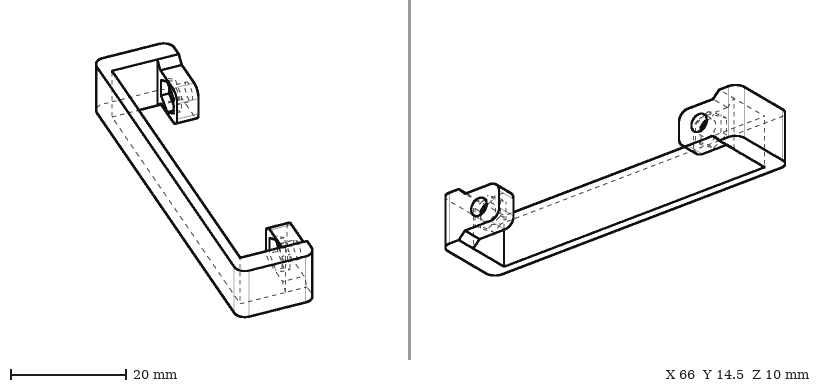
import cadquery as cq
import math

width = 66.0
depth = 14.5
height = 10.0
front_wall = 2.0
side_wall = 4.0
corner_radius = 2.0

ear_length = 9.0
ear_thickness = 4.0
ear_height = 7.25
ear_radius = 2.0
root_chamfer = (height - ear_height) / 2

hole_diameter = 3.4
nut_across_flats = 5.7
nut_depth = 1.5

rear_y = depth / 2
ear_front_y = rear_y - ear_thickness
inner_x = width / 2 - side_wall
ear_tip_x = inner_x - ear_length
hole_x = inner_x - ear_length / 2


def make_frame():
    """U-shaped band, open at the rear, with rounded outer corners."""
    block = cq.Workplane("XY").box(width, depth, height).edges("|Z").fillet(corner_radius)
    opening = (
        cq.Workplane("XY")
        .box(2 * inner_x, depth, height)
        .translate((0, front_wall, 0))
    )
    return block.cut(opening)


def make_right_ear():
    """Ear on the +X arm: rounded tip, flared root, screw hole and nut pocket."""
    half_ear = ear_height / 2
    half_root = half_ear + root_chamfer
    flare_x = inner_x - root_chamfer
    rear_plane = cq.Workplane("XZ", origin=(0, rear_y, 0))
    ear = (
        rear_plane
        .moveTo(inner_x, half_root)
        .lineTo(flare_x, half_ear)
        .lineTo(ear_tip_x, half_ear)
        .lineTo(ear_tip_x, -half_ear)
        .lineTo(flare_x, -half_ear)
        .lineTo(inner_x, -half_root)
        .close()
        .extrude(ear_thickness)
        .edges("|Y and <X")
        .fillet(ear_radius)
    )
    hole = rear_plane.center(hole_x, 0).circle(hole_diameter / 2).extrude(ear_thickness)

    nut_corner_diameter = nut_across_flats / math.cos(math.pi / 6)
    pocket = (
        cq.Workplane("XZ", origin=(hole_x, ear_front_y + nut_depth, 0))
        .transformed(rotate=(0, 0, 90))
        .polygon(6, nut_corner_diameter)
        .extrude(nut_depth)
    )
    return ear.cut(hole).cut(pocket)


right_ear = make_right_ear()
left_ear = right_ear.mirror("YZ")
result = make_frame().union(right_ear).union(left_ear)